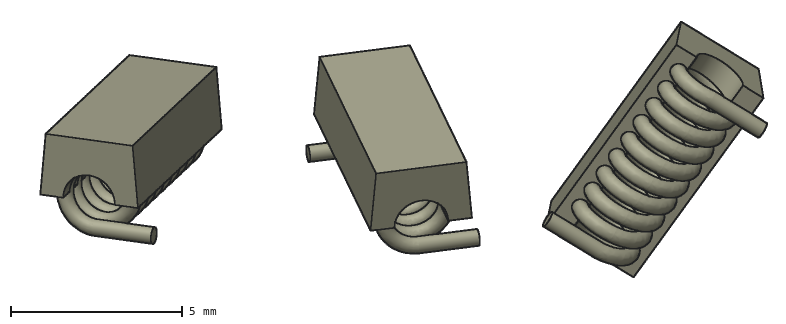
import cadquery as cq

block_length = 6.86
block_height = 1.93
block_top_width = 2.72
block_bottom_width = 3.06
bore_radius = 0.81

wire_radius = 0.5 / 2
coil_inner_radius = 0.755
coil_radius = coil_inner_radius + wire_radius
turns = 9
lead_inset = 0.515
lead_length = 1.83

coil_length = block_length - 2 * lead_inset
pitch = coil_length / turns


def make_block():
    """Tapered block with a half-round channel along its underside."""
    block = (
        cq.Workplane("XZ")
        .moveTo(-block_bottom_width / 2, 0)
        .lineTo(block_bottom_width / 2, 0)
        .lineTo(block_top_width / 2, block_height)
        .lineTo(-block_top_width / 2, block_height)
        .close()
        .extrude(block_length / 2, both=True)
    )
    channel = cq.Workplane("XZ").circle(bore_radius).extrude(block_length / 2, both=True)
    return block.cut(channel)


def make_half_turn():
    """Right-handed half turn of wire, starting at the bottom of the coil's -Y end."""
    path = cq.Wire.makeHelix(pitch, pitch / 2, coil_radius)
    half_turn = (
        cq.Workplane("XZ")
        .center(coil_radius, 0)
        .circle(wire_radius)
        .sweep(cq.Workplane(path), isFrenet=True)
    )
    half_turn = half_turn.rotate((0, 0, 0), (0, 0, 1), 90).rotate((0, 0, 0), (1, 0, 0), -90)
    return half_turn.translate((0, -coil_length / 2, 0))


def make_lead(side):
    """Straight wire end: side +1 leaves the -Y end toward +X, side -1 the opposite."""
    return (
        cq.Workplane("YZ")
        .center(-side * coil_length / 2, -coil_radius)
        .circle(wire_radius)
        .extrude(side * lead_length)
    )


result = make_block()
half_turn = make_half_turn()
for index in range(2 * turns):
    turned = half_turn.rotate((0, 0, 0), (0, 1, 0), 180 * index)
    result = result.union(turned.translate((0, index * pitch / 2, 0)))
for side in (1, -1):
    result = result.union(make_lead(side))